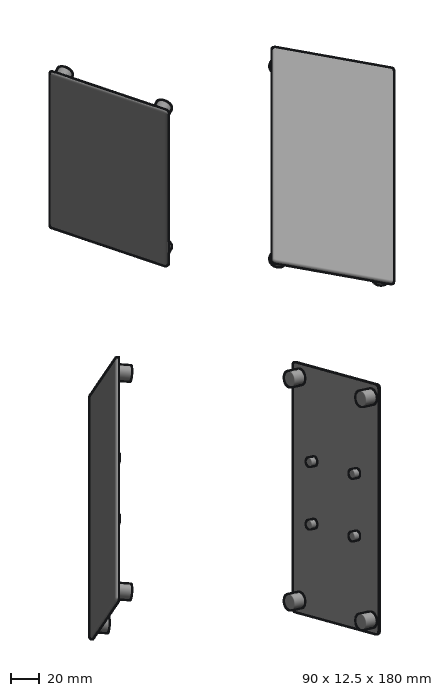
import cadquery as cq

plate_width = 90.0
plate_height = 180.0
plate_thickness = 2.5
corner_radius = 2.5
front_edge_radius = 2.0

total_depth = 12.5
post_length = total_depth - plate_thickness
post_diameter = 11.9
post_spacing_x = 75.0
post_spacing_z = 160.5

pin_length = post_length / 2
pin_diameter = 7.0
pin_spacing = 45.0

peg_end_radius = 0.5


def make_plate():
    """Plate with rounded corners and a rounded front edge, back face on Y = 0."""
    blank = cq.Workplane("XY").box(
        plate_width, plate_thickness, plate_height
    ).translate((0, -plate_thickness / 2, 0))
    return blank.edges("|Y").fillet(corner_radius).faces("<Y").edges().fillet(front_edge_radius)


def make_pegs(spacing_x, spacing_z, diameter, length):
    """Four round pegs in a rectangle, reaching from the back face toward +Y."""
    return (
        cq.Workplane("XZ")
        .rect(spacing_x, spacing_z, forConstruction=True)
        .vertices()
        .circle(diameter / 2)
        .extrude(-length)
        .faces(">Y")
        .edges()
        .fillet(peg_end_radius)
    )


posts = make_pegs(post_spacing_x, post_spacing_z, post_diameter, post_length)
pins = make_pegs(pin_spacing, pin_spacing, pin_diameter, pin_length)
result = make_plate().union(posts).union(pins)